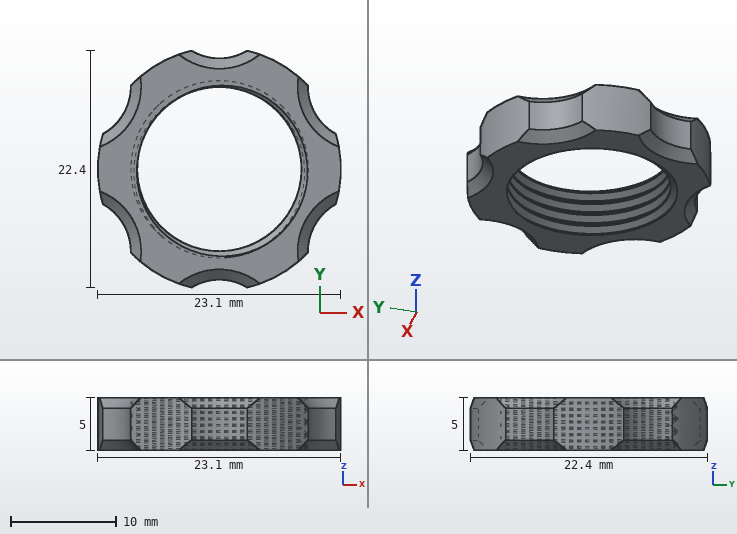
import cadquery as cq
import math

outer_radius = 11.53
height = 5.0

scallop_count = 6
scallop_radius = 5.12
scallop_center_radius = 15.61
first_scallop_angle = 30.0
chamfer_size = 1.0

minor_radius = 15.55 / 2
major_radius = 16.8 / 2
pitch = 1.2
flat_width = pitch / 8
root_angle = 325.0
bore_overlap = 0.05


def make_scallop_cutter():
    """Vertical cylinder that flares outward at 45 degrees at both ends."""
    flared_radius = scallop_radius + chamfer_size
    return (
        cq.Workplane("XZ")
        .moveTo(0, 0)
        .lineTo(flared_radius, 0)
        .lineTo(scallop_radius, chamfer_size)
        .lineTo(scallop_radius, height - chamfer_size)
        .lineTo(flared_radius, height)
        .lineTo(0, height)
        .close()
        .revolve(360, (0, 0, 0), (0, 1, 0))
    )


def make_thread_cutter():
    """Right-handed trapezoidal groove that runs past both end faces."""
    turns = math.ceil(height / pitch) + 3
    start_z = height - (turns - 1) * pitch
    flank_height = (pitch - 2 * flat_width) / 2
    flank_slope = flank_height / (major_radius - minor_radius)
    mouth_radius = minor_radius - bore_overlap
    root_half = flat_width / 2
    mouth_half = root_half + flank_height + bore_overlap * flank_slope

    profile = [
        (mouth_radius, -mouth_half),
        (major_radius, -root_half),
        (major_radius, root_half),
        (mouth_radius, mouth_half),
    ]
    helices = [
        cq.Wire.makeHelix(pitch, turns * pitch, radius).translate(cq.Vector(0, 0, offset))
        for radius, offset in profile
    ]
    sides = [
        cq.Face.makeRuledSurface(helices[i - 1].Edges()[0], helices[i].Edges()[0])
        for i in range(len(helices))
    ]
    start_cap = cq.Face.makeFromWires(
        cq.Wire.makePolygon([cq.Vector(radius, 0, offset) for radius, offset in profile], close=True)
    )
    end_cap = start_cap.translate(cq.Vector(0, 0, turns * pitch))
    shell = cq.Shell.makeShell(sides + [start_cap, end_cap])
    groove = cq.Workplane(cq.Solid.makeSolid(shell))
    return groove.rotate((0, 0, 0), (0, 0, 1), root_angle).translate((0, 0, start_z))


ring = cq.Workplane("XY").circle(outer_radius).circle(minor_radius).extrude(height)

scallop = make_scallop_cutter().translate((scallop_center_radius, 0, 0))
for index in range(scallop_count):
    angle = first_scallop_angle + index * 360 / scallop_count
    ring = ring.cut(scallop.rotate((0, 0, 0), (0, 0, 1), angle))

result = ring.cut(make_thread_cutter())